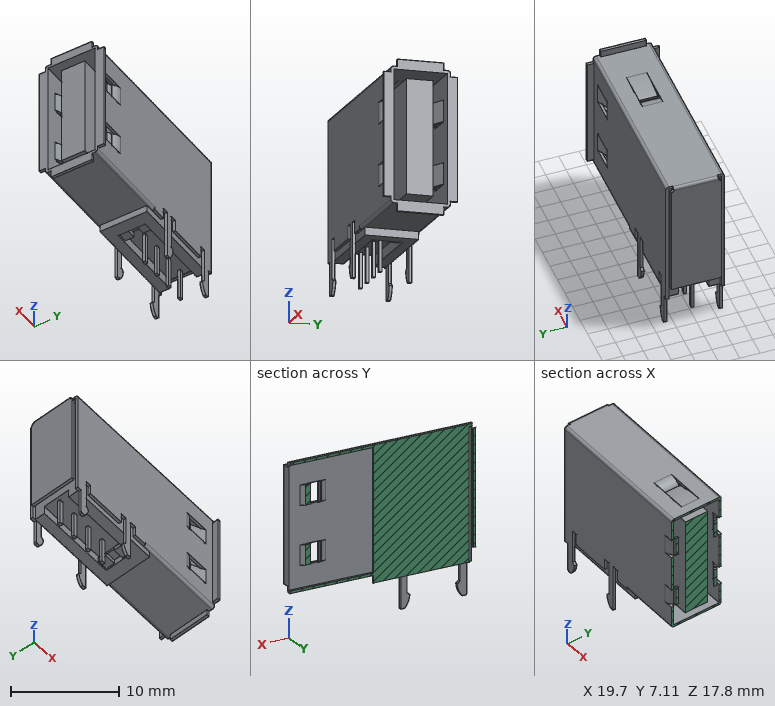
import cadquery as cq
import math

LENGTH = 19.7
SHEET = 0.3

SHELL_WIDTH = 5.75
SHELL_BACK = 0.35
SHELL_BOTTOM = 4.04
SHELL_TOP = 17.12
SHELL_MID_Z = (SHELL_BOTTOM + SHELL_TOP) / 2
SHELL_BEND = 0.3
FLOOR_BACK = 9.97
INNER_WIDTH = SHELL_WIDTH - 2 * SHEET
INNER_BOTTOM = SHELL_BOTTOM + SHEET
INNER_TOP = SHELL_TOP - SHEET

FLANGE_SPAN_Y = 7.11
FLANGE_TOP = 17.8
FLANGE_BOTTOM = 3.29
SHORT_FLANGE_WIDTH = 4.47
SIDE_FLANGE_HEIGHT = 11.9

COVER_WIDTH = 4.92
COVER_BOTTOM = 4.69
COVER_STRAP_WIDTH = 4.41
COVER_BEND = 0.28

HOUSING_BACK = 0.69
HOUSING_FRONT = 10.85
TONGUE_FRONT = 19.4
TONGUE_THICKNESS = 2.56
TONGUE_HEIGHT = 11.03
HOUSING_BOTTOM = 3.29
NOTCH_WIDTH = 2.95
NOTCH_END = 9.45
NOTCH_STEP_LENGTH = 1.18
NOTCH_STEP_BOTTOM = 3.53
NOTCH_STEP_GAP = 0.98
FLOOR_TAB_LENGTH = 0.98
FLOOR_TAB_RADIUS = 0.5

PIN_COUNT = 4
PIN_PITCH = 1.99
PIN_FIRST_X = 1.2
PIN_SIZE_X = 0.4
PIN_SIZE_Y = 0.3
PIN_BOTTOM = 0.95

REAR_LEG_BACK = 0.83
REAR_LEG_FRONT = 1.55
FRONT_LEG_BACK = 7.17
FRONT_LEG_FRONT = 7.85
SLOT_TOP = 5.28
REAR_SLOT_WIDTH = 0.6
FRONT_SLOT_WIDTH = 0.67
HOOK_TOP = 1.54
HOOK_NOSE_Z = 1.28
HOOK_NOSE = 0.3
HOOK_FLANK = 0.15
LEG_CHAMFER = 0.12
HOOK_TIP = 0.25

SIDE_WINDOW_BACK = 15.84
SIDE_WINDOW_LENGTH = 2.7
SIDE_WINDOW_HEIGHT = 2.05
SIDE_WINDOW_OFFSET = 3.0
SIDE_LIP_LENGTH = 0.79
SIDE_TIP_LENGTH = 0.43
SIDE_SPRING_ANGLE = 25.0
SIDE_LIP_ANGLE = 55.0
TOP_WINDOW_BACK = 11.65
TOP_WINDOW_LENGTH = 4.25
TOP_WINDOW_WIDTH = 1.99
TOP_LIP_LENGTH = 1.32
TOP_LIP_ANGLE = 60.0
TOP_SPRING_ANGLE = 16.0


def block(x0, x1, y0, y1, z0, z1):
    return cq.Workplane("XY").box(x1 - x0, y1 - y0, z1 - z0, centered=False).translate((x0, y0, z0))


def centred_block(x0, x1, width, z0, z1):
    return block(x0, x1, -width / 2, width / 2, z0, z1)



def arc_point(radius, degrees):
    """Point on an arc that starts level at the origin and dives inward."""
    angle = math.radians(degrees)
    return radius * math.sin(angle), radius * (1 - math.cos(angle))


def rolled_lip(length, degrees, width):
    """Rear edge of a window, rolled inward through the given angle."""
    radius = length / math.sin(math.radians(degrees))
    inner = radius - SHEET

    def inner_point(turn):
        x, depth = arc_point(inner, turn)
        return x, depth + SHEET

    return (
        cq.Workplane("XY")
        .threePointArc(arc_point(radius, degrees / 2), arc_point(radius, degrees))
        .lineTo(*inner_point(degrees))
        .threePointArc(inner_point(degrees / 2), (0, SHEET))
        .close()
        .extrude(width / 2, both=True)
    )


def side_spring():
    """Straight spring sloping inward from the front of the window to a rounded tip."""
    slope = math.tan(math.radians(SIDE_SPRING_ANGLE))
    tip_x = SIDE_LIP_LENGTH
    crest_x = tip_x + SIDE_TIP_LENGTH
    crest_depth = (SIDE_WINDOW_LENGTH - crest_x) * slope
    radius = SIDE_TIP_LENGTH / math.sin(math.radians(SIDE_LIP_ANGLE))
    tip_drop = arc_point(radius, SIDE_LIP_ANGLE)[1]
    tip_depth = crest_depth - tip_drop
    mid_x, mid_depth = arc_point(radius, SIDE_LIP_ANGLE / 2)
    return (
        cq.Workplane("XY")
        .moveTo(SIDE_WINDOW_LENGTH, 0)
        .lineTo(crest_x, crest_depth)
        .threePointArc((tip_x + mid_x, tip_depth + mid_depth), (tip_x, tip_depth))
        .lineTo(tip_x, tip_depth + SHEET)
        .lineTo(crest_x, crest_depth + SHEET)
        .lineTo(SIDE_WINDOW_LENGTH, SHEET)
        .close()
        .extrude(SIDE_WINDOW_HEIGHT / 2, both=True)
    )


def top_spring():
    """Curved spring, level at the front of the window and diving towards its tip."""
    length = TOP_WINDOW_LENGTH - TOP_LIP_LENGTH
    return (
        rolled_lip(length, TOP_SPRING_ANGLE, TOP_WINDOW_WIDTH)
        .mirror("YZ")
        .translate((TOP_WINDOW_LENGTH, 0, 0))
    )



def make_shell():
    outer = centred_block(SHELL_BACK, LENGTH, SHELL_WIDTH, SHELL_BOTTOM, SHELL_TOP)
    outer = outer.edges("|X").fillet(SHELL_BEND)
    cavity = centred_block(SHELL_BACK, LENGTH, INNER_WIDTH, INNER_BOTTOM, INNER_TOP)
    rear_walls = centred_block(SHELL_BACK, FLOOR_BACK, SHELL_WIDTH, SHELL_BOTTOM, SHELL_MID_Z)
    rear_opening = centred_block(SHELL_BACK, FLOOR_BACK, INNER_WIDTH, SHELL_BOTTOM, SHELL_MID_Z)
    return outer.union(rear_walls).cut(cavity).cut(rear_opening)


def make_flanges():
    back = LENGTH - SHEET
    sides = centred_block(
        back, LENGTH, FLANGE_SPAN_Y,
        SHELL_MID_Z - SIDE_FLANGE_HEIGHT / 2, SHELL_MID_Z + SIDE_FLANGE_HEIGHT / 2,
    )
    ends = centred_block(back, LENGTH, SHORT_FLANGE_WIDTH, FLANGE_BOTTOM, FLANGE_TOP)
    mouth = centred_block(back, LENGTH, INNER_WIDTH, INNER_BOTTOM, INNER_TOP)
    return sides.union(ends).cut(mouth)


def make_cover():
    plate = centred_block(0, SHEET, COVER_WIDTH, COVER_BOTTOM, INNER_TOP)
    corner = (COVER_WIDTH - COVER_STRAP_WIDTH) / 2
    plate = plate.edges("|X and >Z").chamfer(corner)
    strap = centred_block(0, SHELL_BACK + SHEET, COVER_STRAP_WIDTH, INNER_TOP, SHELL_TOP)
    strap = strap.edges("|Y and <X and >Z").fillet(COVER_BEND)
    return plate.union(strap)


def make_housing():
    body = centred_block(HOUSING_BACK, HOUSING_FRONT, INNER_WIDTH, HOUSING_BOTTOM, INNER_TOP)
    notch = centred_block(HOUSING_BACK, NOTCH_END, NOTCH_WIDTH, HOUSING_BOTTOM, INNER_BOTTOM)
    steps = centred_block(
        NOTCH_END - NOTCH_STEP_LENGTH, NOTCH_END, NOTCH_WIDTH, NOTCH_STEP_BOTTOM, SHELL_BOTTOM
    )
    step_gap = centred_block(HOUSING_BACK, NOTCH_END, NOTCH_STEP_GAP, HOUSING_BOTTOM, SHELL_BOTTOM)
    tab = centred_block(
        NOTCH_END - FLOOR_TAB_LENGTH, NOTCH_END, NOTCH_WIDTH, SHELL_BOTTOM, INNER_BOTTOM
    )
    tab = tab.edges("|Z and <X").fillet(FLOOR_TAB_RADIUS)
    tongue = centred_block(
        HOUSING_FRONT, TONGUE_FRONT, TONGUE_THICKNESS,
        SHELL_MID_Z - TONGUE_HEIGHT / 2, SHELL_MID_Z + TONGUE_HEIGHT / 2,
    )
    return body.cut(notch).union(steps.cut(step_gap)).union(tab).union(tongue)


def make_pins():
    pins = cq.Workplane("XY")
    for index in range(PIN_COUNT):
        x = PIN_FIRST_X + index * PIN_PITCH
        pins = pins.union(
            centred_block(x - PIN_SIZE_X / 2, x + PIN_SIZE_X / 2, PIN_SIZE_Y, PIN_BOTTOM, INNER_BOTTOM)
        )
    return pins


def make_leg(plain_x, hook_x):
    """Leg in both side walls, hooked on the edge at hook_x."""
    out = math.copysign(1, hook_x - plain_x)
    leg = (
        cq.Workplane("XZ")
        .moveTo(plain_x, SLOT_TOP)
        .lineTo(plain_x, 0)
        .lineTo(hook_x - out * HOOK_TIP, 0)
        .threePointArc((hook_x + out * HOOK_FLANK, HOOK_NOSE_Z / 2), (hook_x + out * HOOK_NOSE, HOOK_NOSE_Z))
        .lineTo(hook_x, HOOK_TOP)
        .lineTo(hook_x, SLOT_TOP)
        .close()
        .extrude(SHELL_WIDTH / 2, both=True)
    )
    return leg.cut(centred_block(0, LENGTH, INNER_WIDTH, 0, SLOT_TOP))


def relief_slot(x0, width):
    """Slot in both side walls, open at their lower edge."""
    slot = centred_block(x0, x0 + width, SHELL_WIDTH, SHELL_BOTTOM, SLOT_TOP)
    return slot.cut(centred_block(x0, x0 + width, INNER_WIDTH, SHELL_BOTTOM, SLOT_TOP))


def rear_corner():
    """Rear end of both side walls, reaching down to the housing bottom."""
    corner = centred_block(SHELL_BACK, REAR_LEG_FRONT, SHELL_WIDTH, HOUSING_BOTTOM, SHELL_BOTTOM)
    return corner.cut(centred_block(SHELL_BACK, REAR_LEG_FRONT, INNER_WIDTH, HOUSING_BOTTOM, SHELL_BOTTOM))


def add_side_windows(shell):
    window_front = SIDE_WINDOW_BACK + SIDE_WINDOW_LENGTH
    strip = rolled_lip(SIDE_LIP_LENGTH, SIDE_LIP_ANGLE, SIDE_WINDOW_HEIGHT).union(side_spring())
    for offset in (-SIDE_WINDOW_OFFSET, SIDE_WINDOW_OFFSET):
        z = SHELL_MID_Z + offset
        half = SIDE_WINDOW_HEIGHT / 2
        shell = shell.cut(centred_block(SIDE_WINDOW_BACK, window_front, SHELL_WIDTH, z - half, z + half))
        near = strip.translate((SIDE_WINDOW_BACK, -SHELL_WIDTH / 2, z))
        shell = shell.union(near).union(near.mirror("XZ"))
    return shell


def add_top_window(shell):
    window_front = TOP_WINDOW_BACK + TOP_WINDOW_LENGTH
    shell = shell.cut(
        centred_block(TOP_WINDOW_BACK, window_front, TOP_WINDOW_WIDTH, INNER_TOP, SHELL_TOP)
    )
    strip = rolled_lip(TOP_LIP_LENGTH, TOP_LIP_ANGLE, TOP_WINDOW_WIDTH).union(top_spring())
    strip = strip.rotate((0, 0, 0), (1, 0, 0), -90)
    return shell.union(strip.translate((TOP_WINDOW_BACK, 0, SHELL_TOP)))


shell = make_shell()
shell = shell.cut(relief_slot(REAR_LEG_FRONT, REAR_SLOT_WIDTH))
shell = shell.cut(relief_slot(FRONT_LEG_BACK - FRONT_SLOT_WIDTH, FRONT_SLOT_WIDTH))
shell = shell.cut(relief_slot(FRONT_LEG_FRONT, FRONT_SLOT_WIDTH))
shell = shell.union(rear_corner())
rear_legs = make_leg(REAR_LEG_BACK, REAR_LEG_FRONT)
shell = shell.union(rear_legs.edges("|Y and <X and <Z").chamfer(LEG_CHAMFER))
shell = shell.union(make_leg(FRONT_LEG_FRONT, FRONT_LEG_BACK))
shell = shell.union(make_flanges())
shell = add_side_windows(shell)
shell = add_top_window(shell)

result = shell.union(make_cover()).union(make_housing()).union(make_pins())